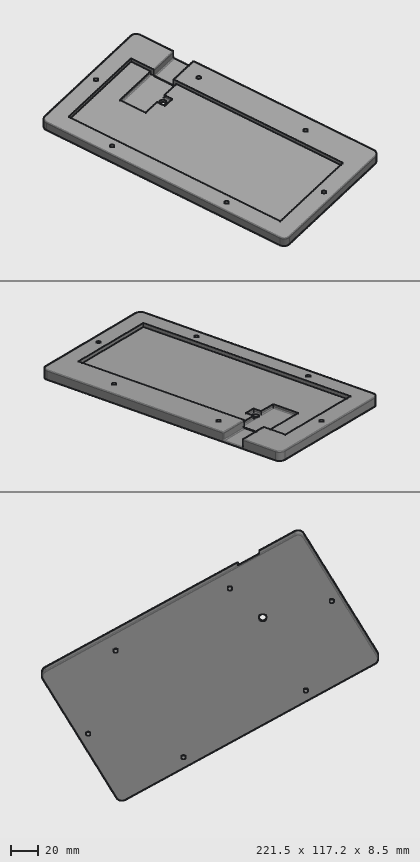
import cadquery as cq

LENGTH, WIDTH, HEIGHT = 221.5, 117.2, 8.5
CORNER_RADIUS = 4.98
EDGE_FILLET = 0.7

POCKET_LENGTH, POCKET_WIDTH, POCKET_DEPTH = 191.8, 78.0, 3.3
POCKET_Y = -5.3
POCKET_FRONT = POCKET_Y - POCKET_WIDTH / 2
POCKET_REAR = POCKET_Y + POCKET_WIDTH / 2

CHANNEL_LEFT, CHANNEL_RIGHT = -75.3, -57.5
CHANNEL_DEPTH = 6.6

RECESS_LEFT, RECESS_RIGHT, RECESS_FRONT = -78.2, -55.0, -4.7
RECESS_DEPTH = 6.0
TAB_RIGHT, TAB_FRONT, TAB_REAR = -47.8, 9.7, 18.8
TAB_HOLE_DIAMETER = 5.5
TAB_HOLE_CENTRE = (-53.0, 14.2)

SCREW_HOLE_DIAMETER = 3.3
SCREW_HOLE_CENTRES = [
    (-103.2, 0), (103.2, 0),
    (-43.6, 46.0), (53.2, 46.0),
    (-51.5, -51), (52.0, -51),
]


def block(left, right, front, rear, depth):
    """Box that reaches from the top face down to the given depth."""
    return (
        cq.Workplane()
        .box(right - left, rear - front, depth, centered=False)
        .translate((left, front, HEIGHT / 2 - depth))
    )


def through_holes(centres, diameter):
    return cq.Workplane().pushPoints(centres).circle(diameter / 2).extrude(HEIGHT, both=True)


def channel():
    """Channel with rounded floor corners along its length."""
    cutter = block(CHANNEL_LEFT, CHANNEL_RIGHT, POCKET_REAR, WIDTH / 2, CHANNEL_DEPTH)
    return cutter.edges("<Z and |Y").fillet(EDGE_FILLET)


def recess():
    """Recess and its tab, rounded around the floor except at the channel."""
    body = block(RECESS_LEFT, RECESS_RIGHT, RECESS_FRONT, POCKET_REAR, RECESS_DEPTH)
    tab = block(RECESS_RIGHT, TAB_RIGHT, TAB_FRONT, TAB_REAR, RECESS_DEPTH)
    return body.union(tab).faces("<Z").edges("not >Y").fillet(EDGE_FILLET)


def rounded_plate():
    """Plate with the channel, its top, bottom and channel mouth edges rounded."""
    plate = cq.Workplane().box(LENGTH, WIDTH, HEIGHT).edges("|Z").fillet(CORNER_RADIUS)
    plate = plate.cut(channel())
    outer_edges = plate.faces("<Z or >Z or >Y").edges("not (|Z and (<X or >X))")
    return outer_edges.fillet(EDGE_FILLET)


pocket = block(-POCKET_LENGTH / 2, POCKET_LENGTH / 2, POCKET_FRONT, POCKET_REAR, POCKET_DEPTH)

result = (
    rounded_plate()
    .cut(pocket)
    .cut(recess())
    .cut(through_holes([TAB_HOLE_CENTRE], TAB_HOLE_DIAMETER))
    .cut(through_holes(SCREW_HOLE_CENTRES, SCREW_HOLE_DIAMETER))
)